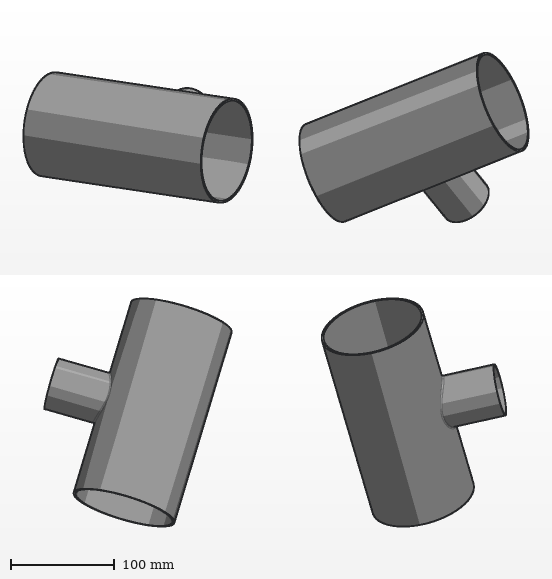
import cadquery as cq

run_length = 196.8
run_outer_diameter = 101.5
run_bore_diameter = 97.5

branch_reach = 101.5
branch_outer_diameter = 50.8
branch_bore_diameter = 47.5

junction_fillet = 1.5


def run_cylinder(diameter):
    """Cylinder along X, centred on the origin."""
    return cq.Workplane("YZ").circle(diameter / 2).extrude(run_length / 2, both=True)


def branch_cylinder(diameter):
    """Cylinder from the main pipe axis to the branch end at +Y."""
    return cq.Workplane("XZ").circle(diameter / 2).extrude(-branch_reach)


def is_junction_edge(edge):
    """True for the curve where the outer walls of the two pipes meet."""
    box = edge.BoundingBox()
    near_branch = box.xlen < run_length / 2
    return near_branch and edge.geomType() not in ("LINE", "CIRCLE")


tee = run_cylinder(run_outer_diameter).union(branch_cylinder(branch_outer_diameter))
junction_edges = [edge for edge in tee.edges().vals() if is_junction_edge(edge)]
tee = tee.newObject(junction_edges).fillet(junction_fillet)

result = tee.cut(run_cylinder(run_bore_diameter)).cut(branch_cylinder(branch_bore_diameter))